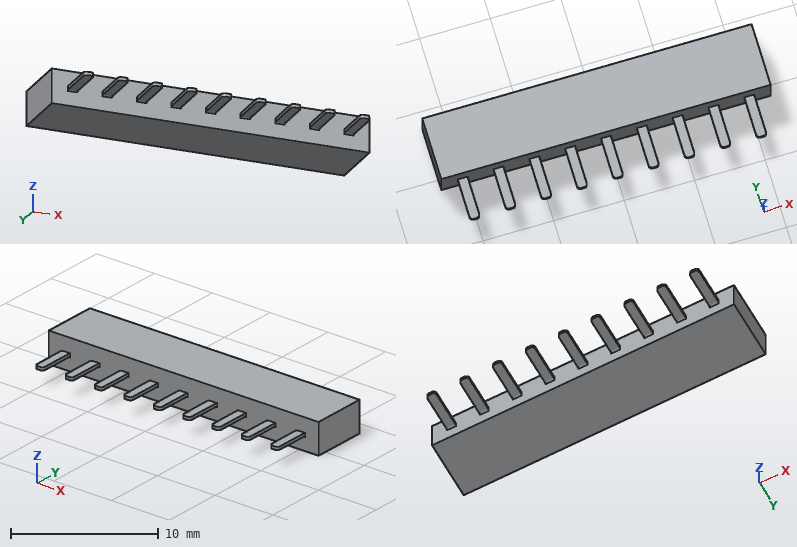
import cadquery as cq
import math

body_length = 23.35
body_depth = 4.5
body_height = 2.55

lead_count = 9
end_margin = 1.52
lead_pitch = (body_length - 2 * end_margin) / (lead_count - 1)
lead_width = 0.7
lead_thickness = 0.25
lead_reach = 3.0
tip_radius = 0.23

bend_length = 0.15
bend_outer_radius = 0.42
bend_inner_radius = bend_outer_radius - lead_thickness
lead_top = lead_thickness / 2
lead_bottom = -lead_thickness / 2


def make_body():
    return cq.Workplane("XY").box(body_length, body_depth, body_height, centered=(True, False, True))


def bend_drop(radius, distance):
    """Fall of a bend surface at a distance past the start of the bend."""
    return radius - math.sqrt(radius**2 - distance**2)


def make_lead(x_center):
    """A flat lead with rounded tip corners, curving down into the body face."""
    half_bend = bend_length / 2
    lead = (
        cq.Workplane("YZ", origin=(x_center, 0, 0))
        .moveTo(-lead_reach, lead_top)
        .lineTo(-bend_length, lead_top)
        .threePointArc(
            (-half_bend, lead_top - bend_drop(bend_outer_radius, half_bend)),
            (0, lead_top - bend_drop(bend_outer_radius, bend_length)),
        )
        .lineTo(0, lead_bottom - bend_drop(bend_inner_radius, bend_length))
        .threePointArc(
            (-half_bend, lead_bottom - bend_drop(bend_inner_radius, half_bend)),
            (-bend_length, lead_bottom),
        )
        .lineTo(-lead_reach, lead_bottom)
        .close()
        .extrude(lead_width / 2, both=True)
    )
    return lead.faces("<Y").edges("|Z").fillet(tip_radius)


result = make_body()
for index in range(lead_count):
    lead_x = (index - (lead_count - 1) / 2) * lead_pitch
    result = result.union(make_lead(lead_x))